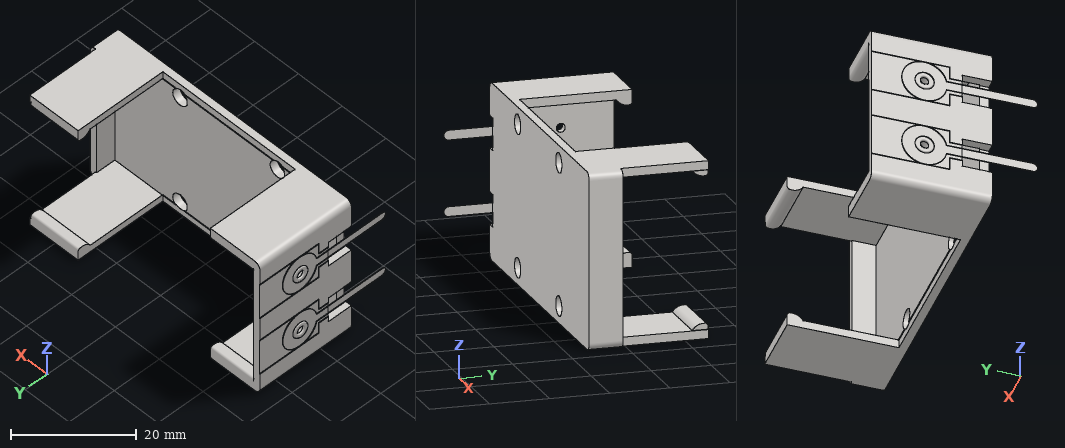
import cadquery as cq
import math


length = 53.848
depth = 20.32
width = 29.57
wall = 1.52
floor = 1.65
sill = 1.52
corner_radius = 1.27
low_wall_height = 5.67
arm_start = 11.33
arm_gap = 30.16
lip_height = 1.03
lip_length = 2.7
lip_corner_radius = 0.55
lip_shoulder_height = 0.85
lip_shoulder_from_edge = 1.7

mount_hole_diameter = 3.3
mount_hole_pitch_x = 22.225
mount_hole_pitch_z = 23.8125
mount_hole_first_x = 15.24

terminal_pitch = 12.7
terminal_thickness = 0.127
disc_radius = 3.81
disc_height = 11.43
tail_width = 1.65
tail_length = 7.62
eyelet_radius = 1.6
eyelet_bore_radius = 0.72
eyelet_height = 0.302
eyelet_round = 0.25

recess_floor = 7.18
neck_width = 3.08
slot_width = 5.38
slot_height = 5.08
slot_depth = 1.7

terminal_heights = [-terminal_pitch / 2, terminal_pitch / 2]


def box(x_range, y_range, z_range):
    """Box between the given limits on each axis."""
    sizes = [high - low for low, high in (x_range, y_range, z_range)]
    corner = (x_range[0], y_range[0], z_range[0])
    return cq.Workplane("XY").box(*sizes, centered=False).translate(corner)


def band(x_range, y_range, z_centre, z_width):
    """Box of the given Z width, centred on z_centre."""
    return box(x_range, y_range, (z_centre - z_width / 2, z_centre + z_width / 2))


def edge_lip(side):
    """Rounded bead on the inner face of the side wall at +Z (side = 1) or -Z (side = -1)."""
    inside = width / 2 - wall
    root = inside + wall / 2
    crest = inside - lip_height
    corner_bend = lip_corner_radius * (1 - math.sqrt(0.5))
    slope_middle = (depth - lip_shoulder_from_edge, side * (inside - lip_shoulder_height))
    return (
        cq.Workplane("YZ", origin=(wall / 2, 0, 0))
        .moveTo(depth, side * root)
        .lineTo(depth, side * (crest + lip_corner_radius))
        .threePointArc(
            (depth - corner_bend, side * (crest + corner_bend)),
            (depth - lip_corner_radius, side * crest),
        )
        .threePointArc(slope_middle, (depth - lip_length, side * inside))
        .lineTo(depth - lip_length, side * root)
        .close()
        .extrude(length - corner_radius - wall / 2)
    )


def open_shell():
    """Tray with a tall terminal wall, a low end wall and a lip on each side wall."""
    shell = (
        box((0, length), (0, depth), (-width / 2, width / 2))
        .edges("|Y")
        .fillet(corner_radius)
    )
    cavity = band((wall, length - wall), (floor, depth), 0, width - 2 * wall)
    shell = shell.cut(cavity)
    arm_end = arm_start + arm_gap
    for side in (-1, 1):
        shell = shell.union(edge_lip(side))
        wall_middle_z = side * (width - wall) / 2
        shell = shell.cut(band((arm_start, arm_end), (sill, depth), wall_middle_z, wall))
    arm_opening = band((arm_start, arm_end), (floor, depth), 0, width)
    end_opening = band((length - wall, length), (low_wall_height, depth), 0, width - 2 * wall)
    end_trim = band((length - corner_radius, length), (low_wall_height, depth), 0, width)
    return shell.cut(arm_opening).cut(end_opening).cut(end_trim)


def mounting_holes():
    centre_x = mount_hole_first_x + mount_hole_pitch_x / 2
    return (
        cq.Workplane("XZ", origin=(centre_x, 0, 0))
        .rarray(mount_hole_pitch_x, mount_hole_pitch_z, 2, 2)
        .circle(mount_hole_diameter / 2)
        .extrude(-floor)
    )


def terminal_seat(z):
    """Recess, neck, tail slot and bore for the terminal centred at height z."""
    recess = band((0, terminal_thickness), (recess_floor, depth), z, 2 * disc_radius)
    neck = band((0, terminal_thickness), (0, recess_floor), z, neck_width)
    slot = band((0, slot_depth), (0, slot_height), z, slot_width)
    bore = cq.Workplane("YZ").center(disc_height, z).circle(eyelet_bore_radius).extrude(wall)
    return recess.union(neck).union(slot).union(bore)


def make_housing():
    housing = open_shell().cut(mounting_holes())
    for z in terminal_heights:
        housing = housing.cut(terminal_seat(z))
    return housing


def eyelet_ring():
    """Ring about the X axis, from the back of the terminal plate to its rounded outer rim."""
    shoulder = eyelet_round - eyelet_height
    bend = eyelet_round * (1 - math.sqrt(0.5))
    top = -eyelet_height
    return (
        cq.Workplane("XY")
        .moveTo(terminal_thickness, eyelet_bore_radius)
        .lineTo(shoulder, eyelet_bore_radius)
        .threePointArc((top + bend, eyelet_bore_radius + bend), (top, eyelet_bore_radius + eyelet_round))
        .lineTo(top, eyelet_radius - eyelet_round)
        .threePointArc((top + bend, eyelet_radius - bend), (shoulder, eyelet_radius))
        .lineTo(terminal_thickness, eyelet_radius)
        .close()
        .revolve(360, (0, 0, 0), (1, 0, 0))
    )


def make_terminal(z):
    """Flat disc with a round-ended tail and a raised eyelet."""
    disc = cq.Workplane("YZ").circle(disc_radius).extrude(terminal_thickness)
    tail_reach = disc_height + tail_length
    tail = (
        band((0, terminal_thickness), (-tail_reach, 0), 0, tail_width)
        .edges("|X and <Y")
        .fillet(tail_width * 0.49)
    )
    bore = cq.Workplane("YZ").circle(eyelet_bore_radius).extrude(terminal_thickness)
    terminal = disc.union(tail).cut(bore).union(eyelet_ring())
    return terminal.translate((0, disc_height, z))


housing = make_housing()
terminals = [make_terminal(z) for z in terminal_heights]

result = cq.Compound.makeCompound([housing.val(), *[terminal.val() for terminal in terminals]])